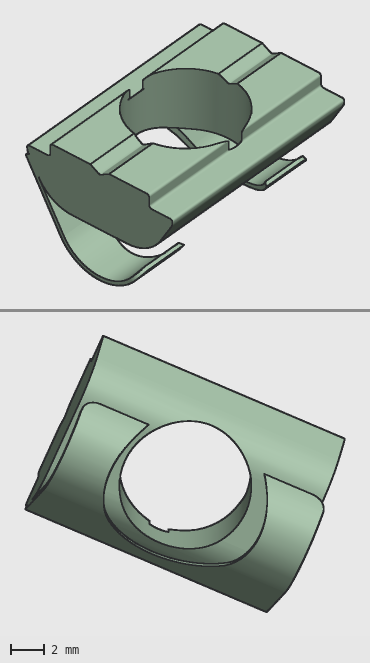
import cadquery as cq
import math

length = 16.0
total_height = 8.46

body_height = 4.6
land_half_width = 3.95
land_height = 1.0
land_fillet = 0.2
flange_half_width = 5.8
flange_corner_x = 6.05
flange_fillet = 0.2
flank_fillet = 0.8
flank_angle = 60.0
underside_radius = 3.07
hole_diameter = 8.0

groove_half_width = 0.75
groove_slope = 30.0
groove_fillet = 0.2

clip_thickness = 0.3
clip_left_x = -5.92
clip_end_angle = 61.0
clip_end_round = 1.0
clip_cutout_radius = 4.96

flank_cos = math.cos(math.radians(flank_angle))
flank_sin = math.sin(math.radians(flank_angle))
flank_tan = math.tan(math.radians(flank_angle))


def extrude_along_y(profile):
    """Extrude an XZ profile symmetrically about Y = 0."""
    return profile.extrude(length / 2, both=True)


def long_edges(solid, places):
    """Edges parallel to Y whose midpoints are nearest to the given (x, z) points."""
    edges = solid.edges(cq.selectors.NearestToPointSelector((places[0][0], 0, places[0][1])))
    for x, z in places[1:]:
        edges = edges.add(solid.edges(cq.selectors.NearestToPointSelector((x, 0, z))))
    return edges


def both_sides(x, z):
    return [(-x, z), (x, z)]


def make_body():
    flank_top_z = -land_height - (flange_corner_x - flange_half_width) * flank_tan
    bottom_corner_x = flange_corner_x - (body_height - land_height) / flank_tan
    groove_depth = groove_half_width * math.tan(math.radians(groove_slope))
    right_side = [
        (groove_half_width, 0),
        (land_half_width, 0),
        (land_half_width, -land_height),
        (flange_half_width, -land_height),
        (flange_half_width, flank_top_z),
        (bottom_corner_x, -body_height),
    ]
    left_side = [(-x, z) for x, z in reversed(right_side)]
    groove_bottom = (0, -groove_depth)
    outline = [groove_bottom] + right_side + left_side
    body = extrude_along_y(cq.Workplane("XZ").polyline(outline).close())

    land_edges = both_sides(land_half_width, 0) + both_sides(land_half_width, -land_height)
    body = long_edges(body, land_edges).fillet(land_fillet)
    body = long_edges(body, both_sides(flange_half_width, -land_height)).fillet(flange_fillet)
    body = long_edges(body, both_sides(flange_half_width, flank_top_z)).fillet(flank_fillet)
    body = long_edges(body, both_sides(bottom_corner_x, -body_height)).fillet(underside_radius)
    body = long_edges(body, [groove_bottom]).fillet(groove_fillet)

    hole = cq.Workplane("XY").circle(hole_diameter / 2).extrude(-body_height)
    return body.cut(hole)


def make_clip():
    inner_radius = (
        flange_corner_x * flank_sin
        + (land_height + clip_thickness - total_height) * flank_cos
    ) / (1 - flank_cos)
    outer_radius = inner_radius + clip_thickness
    centre_z = outer_radius - total_height

    def curl_point(radius, angle):
        """Point on the curl; the angle is measured from its lowest point toward +X."""
        turn = math.radians(angle)
        return (radius * math.sin(turn), centre_z - radius * math.cos(turn))

    inner_tangent = curl_point(inner_radius, -flank_angle)
    outer_tangent = curl_point(outer_radius, -flank_angle)
    strip_length = (outer_tangent[0] - clip_left_x) / flank_cos

    def strip_top(tangent):
        return (tangent[0] - strip_length * flank_cos, tangent[1] + strip_length * flank_sin)

    profile = (
        cq.Workplane("XZ")
        .moveTo(*strip_top(outer_tangent))
        .lineTo(*outer_tangent)
        .threePointArc(curl_point(outer_radius, 0), curl_point(outer_radius, clip_end_angle))
        .lineTo(*curl_point(inner_radius, clip_end_angle))
        .threePointArc(curl_point(inner_radius, 0), inner_tangent)
        .lineTo(*strip_top(inner_tangent))
        .close()
    )
    clip = extrude_along_y(profile)

    end_x, end_z = curl_point(inner_radius + clip_thickness / 2, clip_end_angle)
    for side in (-1, 1):
        corner = cq.selectors.NearestToPointSelector((end_x, side * length / 2, end_z))
        clip = clip.edges(corner).fillet(clip_end_round)

    cutout = cq.Workplane("XY").circle(clip_cutout_radius).extrude(-total_height)
    return clip.cut(cutout)


result = make_body().union(make_clip())